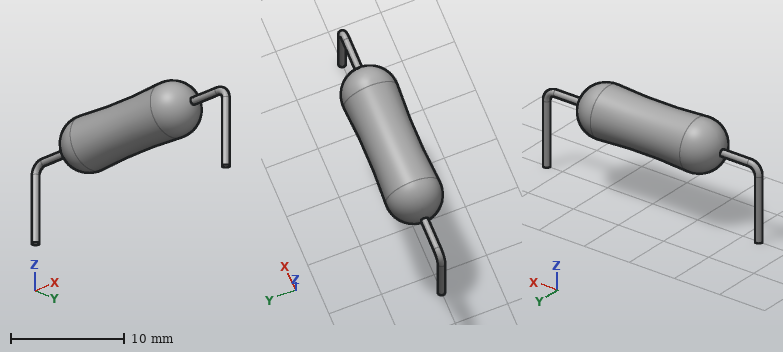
import cadquery as cq
import math


body_length = 15.5
end_radius = 2.6
waist_radius = 2.4

wire_diameter = 0.7
lead_span = 24.2
lead_drop = 7.59
bend_radius = 1.0

half_body = body_length / 2
end_centre_x = half_body - end_radius
lead_x = (lead_span - wire_diameter) / 2
bend_start_x = lead_x - bend_radius

waist_arc_radius = (end_centre_x**2 + waist_radius**2 - end_radius**2) / (2 * (end_radius - waist_radius))
waist_arc_angle = math.asin(end_centre_x / (waist_arc_radius + end_radius))
tangent_x = waist_arc_radius * math.sin(waist_arc_angle)
tangent_z = end_radius * math.cos(waist_arc_angle)


def make_body():
    """Half profile revolved about the X axis."""
    mid_angle = (math.pi / 2 + waist_arc_angle) / 2
    end_mid_x = end_centre_x + end_radius * math.cos(mid_angle)
    end_mid_z = end_radius * math.sin(mid_angle)
    profile = (
        cq.Workplane("XZ")
        .moveTo(-half_body, 0)
        .threePointArc((-end_mid_x, end_mid_z), (-tangent_x, tangent_z))
        .threePointArc((0, waist_radius), (tangent_x, tangent_z))
        .threePointArc((end_mid_x, end_mid_z), (half_body, 0))
        .close()
    )
    return profile.revolve(360, (0, 0, 0), (1, 0, 0))


def make_wire():
    """Round wire swept up one lead, through the body and down the other lead."""
    path = (
        cq.Workplane("XZ")
        .moveTo(-lead_x, -lead_drop)
        .lineTo(-lead_x, -bend_radius)
        .tangentArcPoint((-bend_start_x, 0), relative=False)
        .lineTo(bend_start_x, 0)
        .tangentArcPoint((lead_x, -bend_radius), relative=False)
        .lineTo(lead_x, -lead_drop)
    )
    section = cq.Workplane("XY", origin=(-lead_x, 0, -lead_drop)).circle(wire_diameter / 2)
    return section.sweep(path)


result = make_body().union(make_wire())